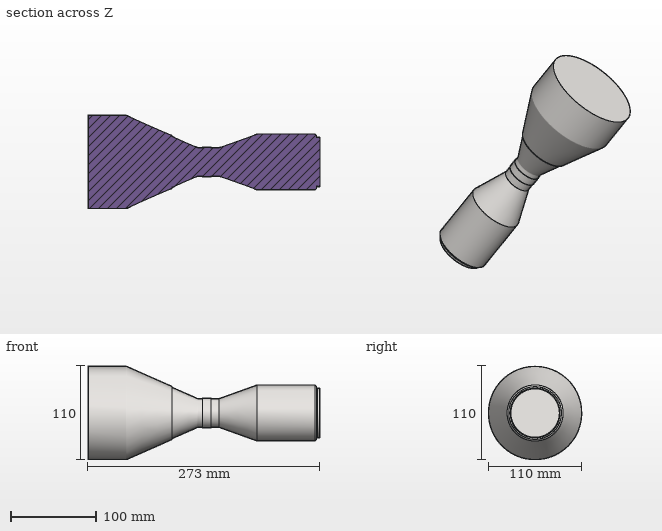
import cadquery as cq

TOTAL_LENGTH = 273.0

HEAD_RADIUS = 55.0
HEAD_LENGTH = 45.7
HEAD_BEVEL_LENGTH = 0.8
HEAD_BEVEL_DEPTH = 0.2

TAPER_STEP_X = 99.0
FRONT_TAPER_END_RADIUS = 31.2
REAR_TAPER_START_RADIUS = 30.2

NECK_RADIUS = 17.0
NECK_START_X = 129.5
NECK_END_X = 154.3
NECK_BLEND_LENGTH = 0.8
NECK_BLEND_DEPTH = 0.1
RING_RADIUS = 17.5
RING_START_X = 134.5
RING_END_X = 144.5

BARREL_RADIUS = 33.0
BARREL_START_X = 198.8
BARREL_BEVEL_LENGTH = 2.0
BARREL_BEVEL_DEPTH = 2.0

SPIGOT_RADIUS = 29.3
SPIGOT_LENGTH = 4.0
SPIGOT_BEVEL = 0.8

spigot_start_x = TOTAL_LENGTH - SPIGOT_LENGTH
spigot_bevel_radius = SPIGOT_RADIUS - SPIGOT_BEVEL


def body_profile():
    """Points of the half outline as (position along the axis, radius)."""
    head = [
        (0, HEAD_RADIUS),
        (HEAD_LENGTH - HEAD_BEVEL_LENGTH, HEAD_RADIUS),
        (HEAD_LENGTH, HEAD_RADIUS - HEAD_BEVEL_DEPTH),
    ]
    tapers = [
        (TAPER_STEP_X, FRONT_TAPER_END_RADIUS),
        (TAPER_STEP_X, REAR_TAPER_START_RADIUS),
        (NECK_START_X - NECK_BLEND_LENGTH, NECK_RADIUS + NECK_BLEND_DEPTH),
    ]
    neck = [
        (NECK_START_X, NECK_RADIUS),
        (RING_START_X, NECK_RADIUS),
        (RING_START_X, RING_RADIUS),
        (RING_END_X, RING_RADIUS),
        (RING_END_X, NECK_RADIUS),
        (NECK_END_X, NECK_RADIUS),
    ]
    barrel = [
        (BARREL_START_X, BARREL_RADIUS),
        (spigot_start_x - BARREL_BEVEL_LENGTH, BARREL_RADIUS),
        (spigot_start_x, BARREL_RADIUS - BARREL_BEVEL_DEPTH),
    ]
    spigot = [
        (spigot_start_x, spigot_bevel_radius),
        (spigot_start_x + SPIGOT_BEVEL, SPIGOT_RADIUS),
        (TOTAL_LENGTH - SPIGOT_BEVEL, SPIGOT_RADIUS),
        (TOTAL_LENGTH, spigot_bevel_radius),
    ]
    return head + tapers + neck + barrel + spigot


def turned_body():
    """Revolve the half outline about the X axis into a solid body."""
    outline = [(0, 0)] + body_profile() + [(TOTAL_LENGTH, 0)]
    return cq.Workplane("XZ").polyline(outline).close().revolve(360, (0, 0, 0), (1, 0, 0))


result = turned_body()